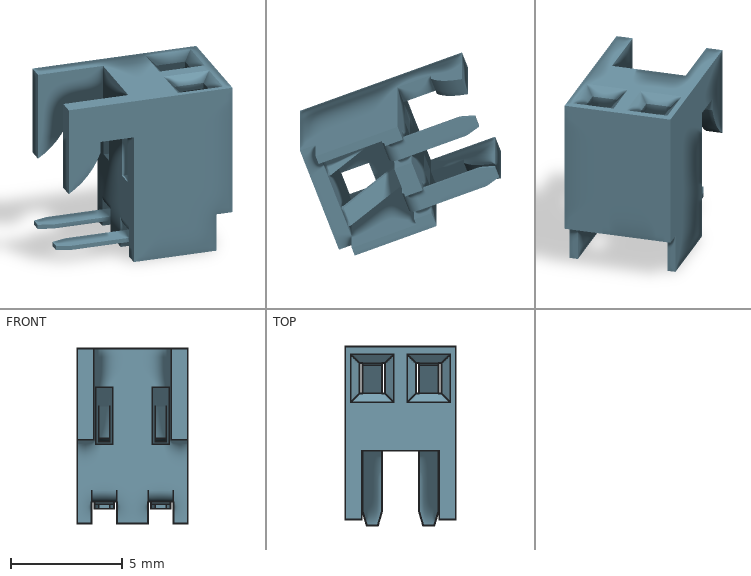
import cadquery as cq
import math


width = 4.98
height = 7.87
total_depth = 8.05
arm_end = 7.785
block_front = 4.69
arm_thickness = 0.76
arm_drop = 1.76
hook_start = 6.29
hook_drop = 2.32
hook_mid = (6.93, 3.4)
hook_tip_drop = 4.105
back_step_depth = 0.76
back_step_drop = 6.09

pitch = 2.535
pole_positions = (-pitch / 2, pitch / 2)

entry_width = 1.93
entry_length = 2.15
funnel_inset = 0.395
throat_width = entry_width - 2 * funnel_inset
side_wall = 0.39
chamber_width = width - 2 * side_wall
chamber_drop = 0.67
chamber_back = back_step_depth
chamber_front = 3.855
entry_back = chamber_back - funnel_inset

window_width = 0.76
window_height = 2.54
window_drop = 1.755
slot_height = 0.975
slot_lip_radius = 0.5

sheet = 0.2
contact_width = 0.89
pin_bottom = 0.66
pin_taper_length = 0.66
pin_tip_width = 0.51
bend_radius = 0.4
leg_top_drop = 1.29
spring_angle = 54.0
spring_end = 0.85
lance_width = 0.51
lance_top_drop = 2.61
lance_edge_drop = 4.05
lance_bottom_drop = 4.2
lance_reach = 0.36


def box(x_center, x_size, y_back, y_front, z_low, z_high):
    """Box between two distances from the back face and two heights."""
    return (
        cq.Workplane("XY")
        .box(x_size, y_front - y_back, z_high - z_low, centered=(True, False, False))
        .translate((x_center, -y_front, z_low))
    )


def side_prism(sketch, x_center, x_size):
    """Extrude a closed YZ outline symmetrically about x_center."""
    return sketch.extrude(x_size / 2, both=True).translate((x_center, 0, 0))


def make_housing():
    outline = (
        cq.Workplane("YZ")
        .moveTo(0, height)
        .lineTo(-arm_end, height)
        .lineTo(-arm_end, height - hook_tip_drop)
        .threePointArc((-hook_mid[0], height - hook_mid[1]), (-hook_start, height - hook_drop))
        .lineTo(-hook_start, height - arm_drop)
        .lineTo(-block_front, height - arm_drop)
        .lineTo(-block_front, 0)
        .lineTo(-back_step_depth, 0)
        .lineTo(-back_step_depth, height - back_step_drop)
        .lineTo(0, height - back_step_drop)
        .close()
    )
    arm_gap = box(0, width - 2 * arm_thickness, block_front, arm_end, 0, height)
    return side_prism(outline, 0, width).cut(arm_gap)


def make_wire_entry(x):
    throat_length = entry_length - 2 * funnel_inset
    funnel = (
        cq.Workplane("XY", origin=(x, -entry_back - entry_length / 2, height))
        .rect(entry_width, entry_length)
        .workplane(offset=-funnel_inset)
        .rect(throat_width, throat_length)
        .loft(ruled=True)
    )
    throat_front = chamber_back + throat_length
    throat_top = height - funnel_inset
    throat = box(x, throat_width, chamber_back, throat_front, height - chamber_drop, throat_top)
    return funnel.union(throat)


def make_pin_slot(x):
    """Slot through the front wall whose ceiling flares upward over a rounded lip."""
    lip_start = block_front - slot_lip_radius
    arc_offset = slot_lip_radius * math.sqrt(0.5)
    outline = (
        cq.Workplane("YZ")
        .moveTo(-chamber_front, 0)
        .lineTo(-block_front, 0)
        .lineTo(-block_front, slot_height + slot_lip_radius)
        .threePointArc(
            (-lip_start - arc_offset, slot_height + slot_lip_radius - arc_offset),
            (-lip_start, slot_height),
        )
        .lineTo(-chamber_front, slot_height)
        .close()
    )
    return side_prism(outline, x, throat_width)


def make_chamber():
    return box(0, chamber_width, chamber_back, chamber_front, 0, height - chamber_drop)


def make_pole_openings(x):
    window_top = height - window_drop
    window = box(x, window_width, chamber_front, block_front, window_top - window_height, window_top)
    return make_wire_entry(x).union(window).union(make_pin_slot(x))


def make_pin(x):
    """Flat pin, tapered in width at its tip."""
    bend_end = chamber_front + bend_radius
    taper_start = total_depth - pin_taper_length
    return (
        cq.Workplane("XY", origin=(x, 0, pin_bottom))
        .moveTo(-contact_width / 2, -bend_end)
        .lineTo(-contact_width / 2, -taper_start)
        .lineTo(-pin_tip_width / 2, -total_depth)
        .lineTo(pin_tip_width / 2, -total_depth)
        .lineTo(contact_width / 2, -taper_start)
        .lineTo(contact_width / 2, -bend_end)
        .close()
        .extrude(sheet)
    )


def make_bend_and_leg(x):
    """Quarter bend from the pin up into the leg that lies against the front wall."""
    bend_y = -chamber_front - bend_radius
    bend_z = pin_bottom + sheet + bend_radius
    outer_radius = bend_radius + sheet
    diagonal = math.sqrt(0.5)
    leg_top = height - leg_top_drop
    outline = (
        cq.Workplane("YZ")
        .moveTo(bend_y, pin_bottom)
        .lineTo(bend_y, pin_bottom + sheet)
        .threePointArc(
            (bend_y + bend_radius * diagonal, bend_z - bend_radius * diagonal),
            (-chamber_front, bend_z),
        )
        .lineTo(-chamber_front, leg_top)
        .lineTo(-chamber_front + sheet, leg_top)
        .lineTo(-chamber_front + sheet, bend_z)
        .threePointArc(
            (bend_y + outer_radius * diagonal, bend_z - outer_radius * diagonal),
            (bend_y, pin_bottom),
        )
        .close()
    )
    return side_prism(outline, x, contact_width)


def make_spring(x):
    """Spring sloping down from the leg top, with a short lip against the back wall."""
    slope = math.radians(spring_angle)
    upright = sheet / math.cos(slope)
    top_front = height - leg_top_drop
    top_back = top_front - (chamber_front - spring_end) * math.tan(slope)
    outline = (
        cq.Workplane("YZ")
        .moveTo(-chamber_front, top_front)
        .lineTo(-spring_end, top_back)
        .lineTo(-chamber_back, top_back)
        .lineTo(-chamber_back, top_back - upright)
        .lineTo(-spring_end, top_back - upright)
        .lineTo(-chamber_front, top_front - upright)
        .close()
    )
    return side_prism(outline, x, contact_width)


def make_lance(x):
    """Wedge on the leg that points down inside the window."""
    outline = (
        cq.Workplane("YZ")
        .moveTo(-chamber_front, height - lance_top_drop)
        .lineTo(-chamber_front - lance_reach, height - lance_edge_drop)
        .lineTo(-chamber_front, height - lance_bottom_drop)
        .close()
    )
    return side_prism(outline, x, lance_width)


def make_contact(x):
    return make_bend_and_leg(x).union(make_pin(x)).union(make_spring(x)).union(make_lance(x))


result = make_housing().cut(make_chamber())
for pole_x in pole_positions:
    result = result.cut(make_pole_openings(pole_x)).union(make_contact(pole_x))